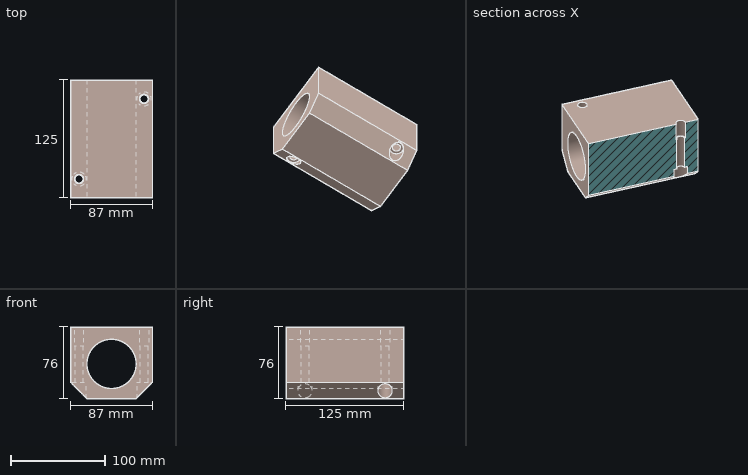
import cadquery as cq

width = 87.0
length = 125.0
height = 76.0

bore_diameter = 52.0
bore_height = 37.0

bevel = (width - bore_diameter) / 2

bolt_side_margin = 9.0
bolt_end_margin = 20.0
bolt_x = width / 2 - bolt_side_margin
bolt_y = length / 2 - bolt_end_margin
bolt_positions = [(-bolt_x, -bolt_y), (bolt_x, bolt_y)]

clearance_diameter = 8.4
thread_diameter = 10.0
thread_depth = 2 * thread_diameter
head_diameter = 15.0
head_seat_height = bevel


def make_block():
    block = cq.Workplane("XY").box(width, length, height, centered=(True, True, False))
    return block.faces("<Z").edges("|Y").chamfer(bevel)


def make_main_bore():
    profile = cq.Workplane("XZ").center(0, bore_height).circle(bore_diameter / 2)
    return profile.extrude(length / 2, both=True)


def vertical_cylinders(diameter, bottom, top):
    """One cylinder at each bolt position, from height bottom to height top."""
    profile = cq.Workplane("XY", origin=(0, 0, bottom)).pushPoints(bolt_positions)
    return profile.circle(diameter / 2).extrude(top - bottom)


result = (
    make_block()
    .cut(make_main_bore())
    .cut(vertical_cylinders(clearance_diameter, 0, height))
    .cut(vertical_cylinders(thread_diameter, height - thread_depth, height))
    .cut(vertical_cylinders(head_diameter, 0, head_seat_height))
)